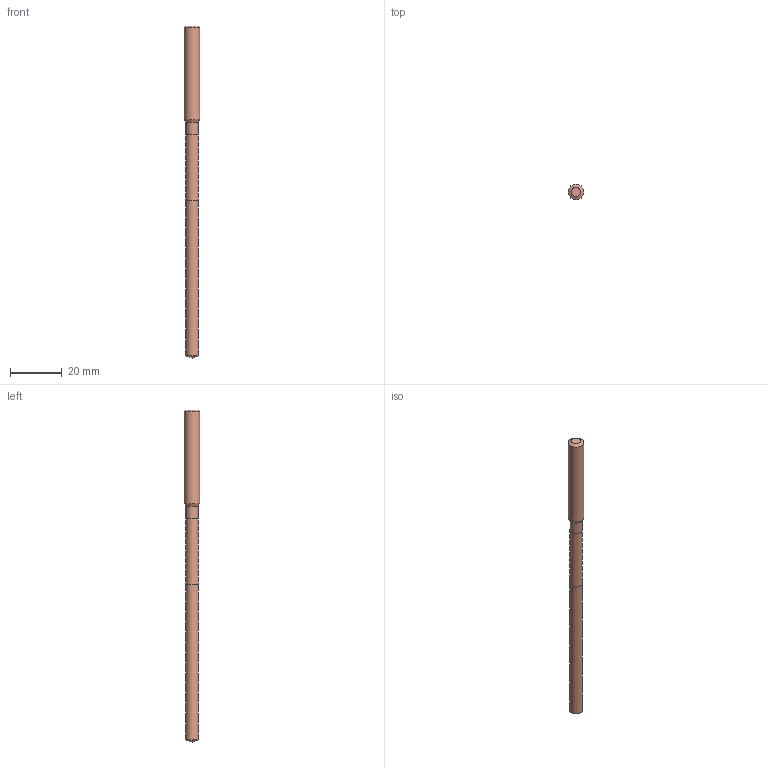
import cadquery as cq
import math

total_length = 128.0
shank_diameter = 6.0
shank_length = 36.1
top_face_diameter = 3.5
top_chamfer_height = 0.72
shoulder_height = 1.0
neck_diameter = 4.89
neck_length = 4.9
tip_diameter = 5.0
cutting_length = 60.8
point_angle = 140.0

shank_radius = shank_diameter / 2
top_face_radius = top_face_diameter / 2
neck_radius = neck_diameter / 2
tip_radius = tip_diameter / 2
point_height = tip_radius / math.tan(math.radians(point_angle / 2))
shank_bottom = total_length - shank_length
neck_top = shank_bottom - shoulder_height
neck_bottom = neck_top - neck_length
chamfer_bottom = total_length - top_chamfer_height

taper_slope = (tip_radius - neck_radius) / (neck_bottom - point_height)
joint_radius = tip_radius - taper_slope * (cutting_length - point_height)


def revolve_profile(points):
    """Turn a closed (radius, height) outline about the Z axis."""
    return cq.Workplane("XZ").polyline(points).close().revolve(360, (0, 0), (0, 1))


def make_cutting_body():
    """Back-tapered cutting part ending in a conical drill point."""
    return revolve_profile([
        (0, 0),
        (tip_radius, point_height),
        (joint_radius, cutting_length),
        (0, cutting_length),
    ])


def make_shank_body():
    """Tapered rod, cylindrical neck, conical shoulder and shank with a chamfered top."""
    return revolve_profile([
        (0, cutting_length),
        (joint_radius, cutting_length),
        (neck_radius, neck_bottom),
        (neck_radius, neck_top),
        (shank_radius, shank_bottom),
        (shank_radius, chamfer_bottom),
        (top_face_radius, total_length),
        (0, total_length),
    ])


cutting_body = make_cutting_body()
shank_body = make_shank_body()
result = cq.Compound.makeCompound([cutting_body.val(), shank_body.val()])